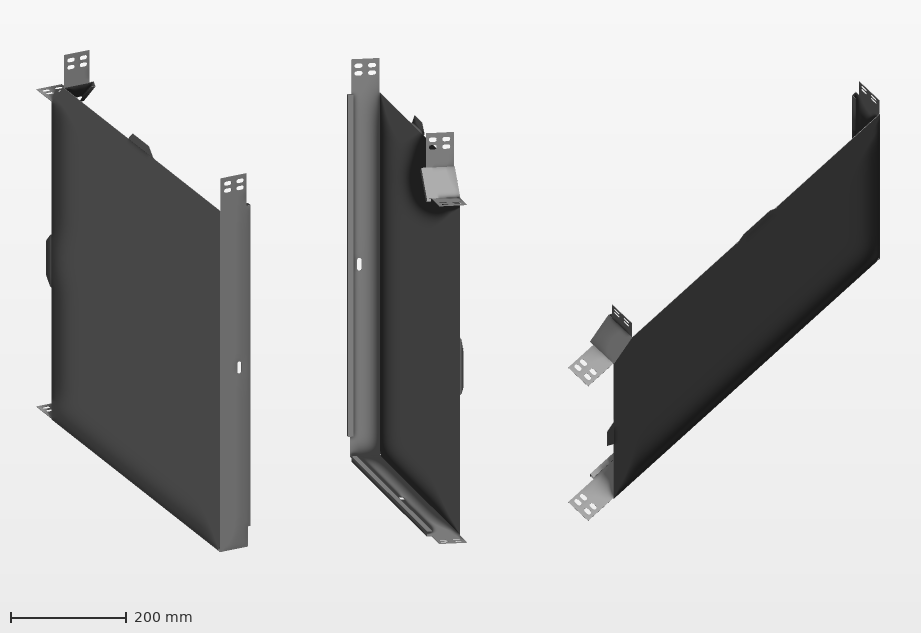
import cadquery as cq
import math

size = 704.0
depth = 61.0
sheet = 0.8

plate_edge = 61.0
plate_size = size - plate_edge
corner_cut = 45.0
outer_relief = 10.5
plate_front = 2.0
opening = plate_size - corner_cut

hem_height = 10.0
hem_return = 9.0
hem_front = depth - hem_return
hem_setback = 38.0
wall_rear = 55.5
lap_width = 10.0

wall_slot_length = 22.5
wall_slot_width = 8.0
wall_slot_from_corner = 341.0
wall_slot_y = 39.5

tab_front = 3.5
tab_rear = 53.0
fixing_length = 14.0
fixing_width = 8.0
fixing_from_end = (12.0, 25.0)
fixing_y = (17.0, 41.0)

tongue_base = 101.5
tongue_tip = 62.0
tongue_reach = 18.0
joggle_run = 2.45


def box(x_range, y_range, z_range):
    """Axis-aligned block between the given limits."""
    lengths = [high - low for low, high in (x_range, y_range, z_range)]
    corner = (x_range[0], y_range[0], z_range[0])
    return cq.Workplane("XY").box(*lengths, centered=False).translate(corner)


def mirrored(body):
    """Copy across the diagonal symmetry plane of the elbow."""
    return body.mirror(cq.Vector(1, 0, 1), (size, 0, 0))


def cover_plate():
    outline = [
        (plate_edge, 0),
        (size - outer_relief, 0),
        (size, outer_relief),
        (size, plate_size),
        (plate_edge + corner_cut, plate_size),
        (plate_edge, opening),
    ]
    plate = cq.Workplane("XZ", origin=(0, plate_front, 0)).polyline(outline).close()
    return plate.extrude(-sheet)


def hem(start, end):
    """Rear lip turned inward, with a return toward the plate, on a wall lying at Z = 0."""
    lip = box((start, end), (depth - sheet, depth), (0, hem_height))
    web = box((start, end), (hem_front, depth), (0, sheet))
    back = box((start, end), (hem_front, depth), (hem_height - sheet, hem_height))
    return web.union(lip).union(back)


def end_tab(height):
    """Perforated tab reaching in -X from the plate edge, with its top face at the given height."""
    tab = box((0, plate_edge + sheet), (tab_front, tab_rear), (height - sheet, height))
    points = [(x, y) for x in fixing_from_end for y in fixing_y]
    slots = (
        cq.Workplane("XY", origin=(0, 0, height - 2 * sheet))
        .pushPoints(points)
        .slot2D(fixing_length, fixing_width, 90)
        .extrude(3 * sheet)
    )
    return tab.cut(slots)


def long_wall():
    wall = box((plate_edge, size), (plate_front, wall_rear), (0, sheet))
    slot = (
        cq.Workplane("XY", origin=(size - wall_slot_from_corner, wall_slot_y, -sheet))
        .slot2D(wall_slot_length, wall_slot_width)
        .extrude(3 * sheet)
    )
    return wall.union(hem(plate_edge, size - hem_setback)).cut(slot).union(end_tab(sheet))


def corner_lap():
    """Flange of the +X wall lying on the lower wall at the outer corner."""
    return box((size - lap_width, size), (plate_front, wall_rear), (sheet, 2 * sheet))


def corner_wall():
    """Wall lying against the edge of the cut inner corner, with its hem turned toward the outer corner."""
    length = corner_cut * math.sqrt(2)
    wall = box((0, length), (plate_front, depth), (0, sheet)).union(hem(0, length))
    wall = wall.translate((0, 0, -sheet))
    turned = wall.rotate((0, 0, 0), (0, 1, 0), 135)
    return turned.translate((plate_edge + corner_cut, 0, plate_size))


def tongue():
    """Trapezoid stepped forward from the left edge of the plate, centred on the opening."""
    joggle_end = plate_edge - joggle_run
    tip = plate_edge - tongue_reach
    profile = [
        (plate_edge, plate_front),
        (joggle_end, 0),
        (tip, 0),
        (tip, sheet),
        (joggle_end, sheet),
        (plate_edge, plate_front + sheet),
    ]
    middle = opening / 2
    strip = (
        cq.Workplane("XY", origin=(0, 0, middle - tongue_base / 2))
        .polyline(profile)
        .close()
        .extrude(tongue_base)
    )
    trapezoid = (
        cq.Workplane("XZ")
        .polyline([
            (plate_edge, middle - tongue_base / 2),
            (plate_edge, middle + tongue_base / 2),
            (tip, middle + tongue_tip / 2),
            (tip, middle - tongue_tip / 2),
        ])
        .close()
        .extrude(-depth)
    )
    return strip.intersect(trapezoid)


result = cover_plate().union(corner_wall()).union(corner_lap())
for feature in (long_wall(), end_tab(opening + sheet), tongue()):
    result = result.union(feature).union(mirrored(feature))